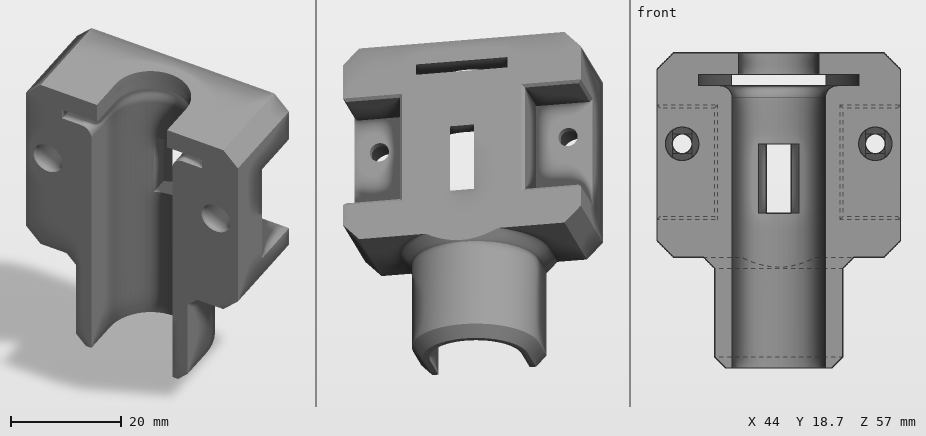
import cadquery as cq
import math

body_width = 44.0
body_depth = 18.7
body_height = 37.0
total_height = 57.0
body_chamfer = 3.0

axis_depth = 6.9
neck_radius = 11.55
neck_chamfer = 2.0
bore_radius = 8.45
bore_lip_radius = 2.1
mouth_radius = 7.3

top_plate = 4.0
slot_height = 2.0
slot_radius = 14.55

screw_offset = 17.45
screw_drop = 16.5
screw_hole_radius = 1.75
screw_head_radius = 3.0
screw_floor = 2.0
relief_step = 0.2

recess_depth = 9.9
recess_drop = 10.0
recess_height = 19.65
recess_chamfer = 0.5
web_half_width = neck_radius

window_drop = 16.55
window_height = 12.5
window_front_width = 7.35
window_back_width = 4.45
window_wall_angle = 24.0

body_bottom = total_height - body_height
slot_top = total_height - top_plate
slot_bottom = slot_top - slot_height
recess_front = body_depth - recess_depth
recess_top = total_height - recess_drop
recess_bottom = recess_top - recess_height
window_bottom = total_height - window_drop - window_height
screw_z = total_height - screw_drop


def box(x_range, y_range, z_range):
    """Axis-aligned block between the given pairs of limits."""
    corner = (x_range[0], y_range[0], z_range[0])
    sizes = [limits[1] - limits[0] for limits in (x_range, y_range, z_range)]
    return cq.Workplane("XY").box(*sizes, centered=False).translate(corner)


def u_solid(profile):
    """Solid with a round back about the bore axis and straight sides running to the front face.

    The profile is a closed wire of (radius, z) points on the positive side of the bore axis.
    """
    round_back = profile.revolve(360, (0, 0, 0), (0, 1, 0))
    right_half = profile.toPending().extrude(axis_depth)
    straight_front = right_half.union(right_half.mirror("YZ"))
    return round_back.union(straight_front)


def profile_plane():
    """Plane through the bore axis, facing the open front."""
    return cq.Workplane("XZ", origin=(0, axis_depth, 0))


def u_prism(radius, bottom, top):
    """Plain U-shaped prism between two levels."""
    height = top - bottom
    return u_solid(profile_plane().moveTo(0, bottom).rect(radius, height, centered=False))


def make_body():
    block = box((-body_width / 2, body_width / 2), (0, body_depth), (body_bottom, total_height))
    return block.edges("|Y").chamfer(body_chamfer)


def cut_side_recesses(body):
    """Cut a recess into each rear side and bevel its open edges at the side and the back."""
    side = body_width / 2
    for limits in ((-side, -web_half_width), (web_half_width, side)):
        body = body.cut(box(limits, (recess_front, body_depth), (recess_bottom, recess_top)))
    margin = recess_chamfer / 2
    zone = cq.selectors.BoxSelector(
        (-side - margin, recess_front + margin, recess_bottom - margin),
        (side + margin, body_depth + margin, recess_top + margin),
    )
    matching = cq.selectors.StringSyntaxSelector
    back_edges = zone & matching("|X or |Z")
    side_edges = zone & matching("|Y and (<X or >X)")
    return body.edges(back_edges + side_edges).chamfer(recess_chamfer)


def make_neck():
    """Neck bevelled at its foot and flared at 45 degrees into the underside of the body."""
    profile = (
        profile_plane()
        .lineTo(neck_radius - neck_chamfer, 0)
        .lineTo(neck_radius, neck_chamfer)
        .lineTo(neck_radius, body_bottom - neck_chamfer)
        .lineTo(neck_radius + neck_chamfer, body_bottom)
        .lineTo(0, body_bottom)
        .close()
    )
    envelope = box((-body_width / 2, body_width / 2), (0, body_depth), (0, body_bottom))
    return u_solid(profile).intersect(envelope)


def make_bore():
    """Open channel whose top edge rounds outwards into the slot."""
    lip_start = slot_bottom - bore_lip_radius
    lip_outer = bore_radius + bore_lip_radius
    diagonal = bore_lip_radius * math.sqrt(0.5)
    profile = (
        profile_plane()
        .lineTo(bore_radius, 0)
        .lineTo(bore_radius, lip_start)
        .threePointArc((lip_outer - diagonal, lip_start + diagonal), (lip_outer, slot_bottom))
        .lineTo(0, slot_bottom)
        .close()
    )
    return u_solid(profile)


def make_window():
    """Window through the wall behind the bore, its sides converging at the back face."""
    front_half = window_front_width / 2
    back_half = window_back_width / 2
    taper_depth = (front_half - back_half) * math.tan(math.radians(window_wall_angle))
    return (
        cq.Workplane("XY", origin=(0, 0, window_bottom))
        .moveTo(-front_half, axis_depth)
        .lineTo(front_half, axis_depth)
        .lineTo(front_half, body_depth - taper_depth)
        .lineTo(back_half, body_depth)
        .lineTo(-back_half, body_depth)
        .lineTo(-front_half, body_depth - taper_depth)
        .close()
        .extrude(window_height)
    )


def make_screw_hole(x):
    """Screw hole with a deep head hole in front, stepped down to the shank by two ledges."""
    head_depth = recess_front - screw_floor
    slot_depth = head_depth + relief_step
    square_depth = slot_depth + relief_step
    shank_width = 2 * screw_hole_radius
    front = cq.Workplane("XZ", origin=(x, 0, screw_z))
    head = front.circle(screw_head_radius).extrude(-head_depth)
    strip = front.rect(shank_width, 2 * screw_head_radius).extrude(-slot_depth)
    head_sized_strip = strip.intersect(front.circle(screw_head_radius).extrude(-slot_depth))
    square = front.rect(shank_width, shank_width).extrude(-square_depth)
    shank = front.circle(screw_hole_radius).extrude(-recess_front)
    return head.union(head_sized_strip).union(square).union(shank)


result = cut_side_recesses(make_body()).union(make_neck())
result = result.cut(make_bore())
result = result.cut(u_prism(slot_radius, slot_bottom, slot_top))
result = result.cut(u_prism(mouth_radius, slot_top, total_height))
result = result.cut(make_window())
for screw_x in (-screw_offset, screw_offset):
    result = result.cut(make_screw_hole(screw_x))